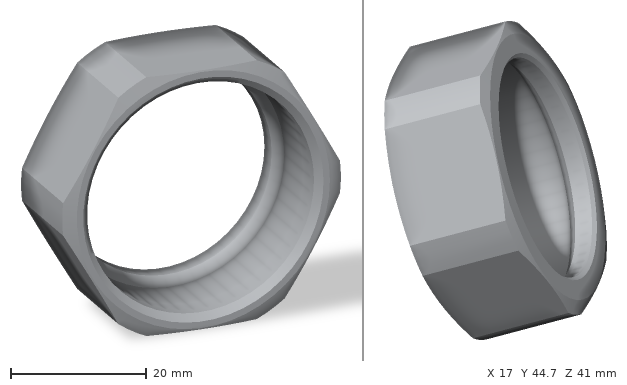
import cadquery as cq
import math

length = 17.0
across_flats = 41.0
corner_diameter = 44.7
face_diameter = 40.55
corner_chamfer_length = 0.7

bore_diameter = 33.5
recess_diameter = 36.35
lip_end = 3.25
mouth_chamfer = 0.55
outlet_chamfer = 1.05

front_x = -length / 2


def bore():
    """Through bore along the X axis."""
    plane = cq.Workplane("YZ", origin=(front_x, 0, 0))
    return plane.circle(bore_diameter / 2).extrude(length)


def hexagonal_prism():
    """Hexagon with flats facing +Z and -Z and corners on the Y axis."""
    across_corners = across_flats / math.cos(math.pi / 6)
    plane = cq.Workplane("YZ", origin=(front_x, 0, 0))
    return plane.polygon(6, across_corners).extrude(length)


def chamfered_envelope():
    """Round blank whose end chamfers trim the hexagon corners."""
    face_radius = face_diameter / 2
    corner_radius = corner_diameter / 2
    shoulder_x = length / 2 - corner_chamfer_length
    half_section = (
        cq.Workplane("XY")
        .moveTo(front_x, 0)
        .lineTo(front_x, face_radius)
        .lineTo(-shoulder_x, corner_radius)
        .lineTo(shoulder_x, corner_radius)
        .lineTo(length / 2, face_radius)
        .lineTo(length / 2, 0)
        .close()
    )
    return half_section.revolve(360, (0, 0, 0), (1, 0, 0))


def recess():
    """Wide bore: a 45 degree shoulder behind the lip and a flared +X end."""
    lip_radius = bore_diameter / 2
    recess_radius = recess_diameter / 2
    lip_x = front_x + lip_end
    shoulder_x = lip_x + recess_radius - lip_radius
    half_section = (
        cq.Workplane("XY")
        .moveTo(lip_x, 0)
        .lineTo(lip_x, lip_radius)
        .lineTo(shoulder_x, recess_radius)
        .lineTo(length / 2 - outlet_chamfer, recess_radius)
        .lineTo(length / 2, recess_radius + outlet_chamfer)
        .lineTo(length / 2, 0)
        .close()
    )
    return half_section.revolve(360, (0, 0, 0), (1, 0, 0))


body = hexagonal_prism().intersect(chamfered_envelope())
body = body.cut(bore())
body = body.cut(recess())
mouth_edge = body.faces("<X").edges(cq.selectors.RadiusNthSelector(0))
result = mouth_edge.chamfer(mouth_chamfer)